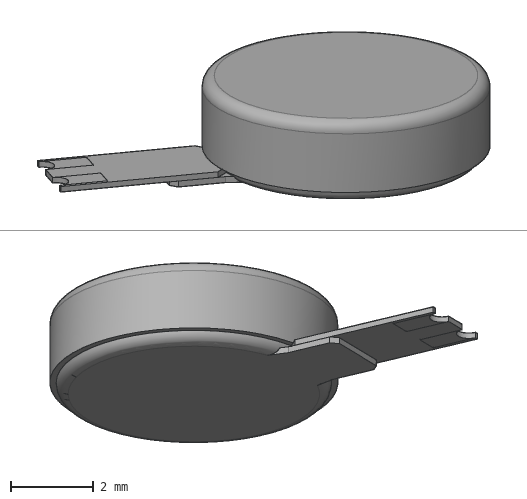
import cadquery as cq

case_height = 2.1
can_radius = 3.5
base_height = 0.3
base_radius = 3.34
rim_fillet = 0.3
base_edge_fillet = 0.292

strip_half_width = 1.01
strip_thickness = 0.14
strip_bottom = base_height - strip_thickness
strip_end_y = can_radius - 11
strip_shoulder_y = -3.53
strip_taper = 0.34
strip_root_y = strip_shoulder_y + strip_taper
strip_root_half_width = strip_half_width - strip_taper

tab_end_y = -4.71
tab_chamfer = 0.18
tab_flare_y = -3.34
tab_flare = 0.14
tab_root_y = -2.75

pad_width = 0.6
pad_length = 1.21
pad_spacing = 1.22
pad_inner_y = strip_end_y + pad_length
notch_radius = pad_width / 2


def mirrored_outline(half_outline, bottom, height):
    """Extrude an outline given by its +X half, from one end to the other."""
    other_half = [(-x, y) for x, y in reversed(half_outline)]
    return (
        cq.Workplane("XY", origin=(0, 0, bottom))
        .polyline(half_outline + other_half)
        .close()
        .extrude(height)
    )


def make_can():
    return (
        cq.Workplane("XY", origin=(0, 0, base_height))
        .circle(can_radius)
        .extrude(case_height - base_height)
        .faces(">Z")
        .edges()
        .fillet(rim_fillet)
    )


def make_strip_blank():
    """Strip with a tapered root, before the pad openings are cut."""
    half_outline = [
        (strip_root_half_width, strip_root_y),
        (strip_half_width, strip_shoulder_y),
        (strip_half_width, strip_end_y),
    ]
    return mirrored_outline(half_outline, strip_bottom, strip_thickness)


def make_base():
    """Round plate with its supporting tab and a recess for the strip root."""
    plate = (
        cq.Workplane("XY")
        .circle(base_radius)
        .extrude(base_height)
        .faces("<Z")
        .edges()
        .fillet(base_edge_fillet)
    )
    half_outline = [
        (strip_half_width + tab_flare, tab_root_y),
        (strip_half_width, tab_flare_y),
        (strip_half_width, tab_end_y + tab_chamfer),
        (strip_half_width - tab_chamfer, tab_end_y),
    ]
    tab = mirrored_outline(half_outline, 0, strip_bottom)
    return plate.union(tab).cut(make_strip_blank())


def make_strip():
    """Strip with an opening for each pad, open at the free end."""
    openings = (
        cq.Workplane("XY", origin=(0, 0, strip_bottom))
        .pushPoints([(x, strip_end_y + pad_length / 2) for x in pad_centres])
        .rect(pad_width, pad_length)
        .extrude(strip_thickness)
    )
    return make_strip_blank().cut(openings)


def make_pad(centre_x):
    """Pad whose free end is a half-round solder notch across its full width."""
    left = centre_x - pad_width / 2
    right = centre_x + pad_width / 2
    return (
        cq.Workplane("XY", origin=(0, 0, strip_bottom))
        .moveTo(left, strip_end_y)
        .threePointArc((centre_x, strip_end_y + notch_radius), (right, strip_end_y))
        .lineTo(right, pad_inner_y)
        .lineTo(left, pad_inner_y)
        .close()
        .extrude(strip_thickness)
    )


pad_centres = [-pad_spacing / 2, pad_spacing / 2]

can = make_can()
base = make_base()
strip = make_strip()
pads = [make_pad(x) for x in pad_centres]

result = cq.Compound.makeCompound([can.val(), base.val(), strip.val(), *[pad.val() for pad in pads]])